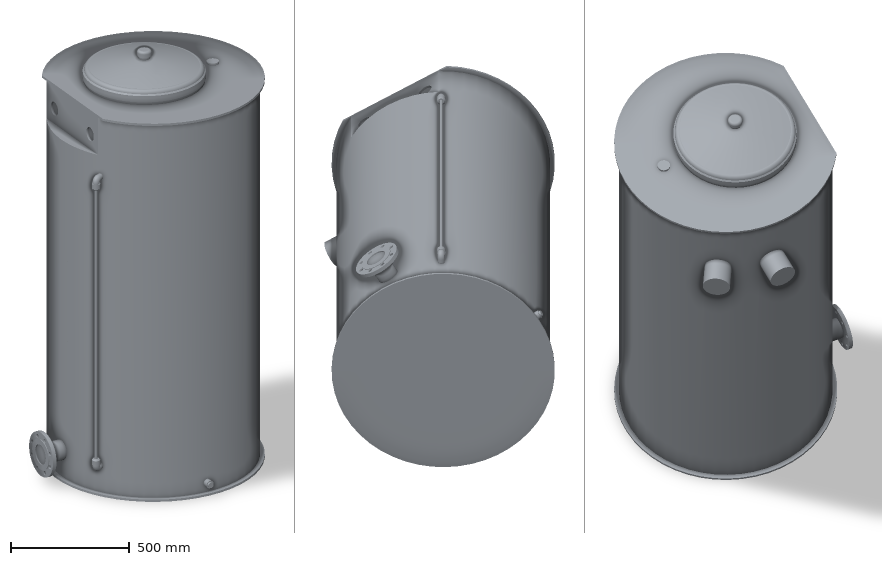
import cadquery as cq
import math

shell_radius = 450
plate_radius = 470
plate_thickness = 10
tank_height = 1750

panel_y = -395
ledge_z = 1567
port_diameter = 61
port_depth = 10
port_spacing = 298
port_z = 1637

inlet_diameter = 114.3
inlet_reach = 550
inlet_z = 1470
inlet_angles = (180, 150)

outlet_z = 131
outlet_reach = 550
outlet_diameter = 88.9
outlet_recess = 6
flange_diameter = 200
flange_thickness = 20
raised_face_diameter = 138
raised_face_height = 3
bolt_circle_diameter = 160
bolt_count = 8
bolt_hole_diameter = 18

lid_y = -44
lid_radius = 260
neck_radius = 257
neck_height = 13
lid_step_z = 1792
lid_step = 6
shoulder_inner_radius = 235
shoulder_top_z = 1814
dome_top_z = 1850
dome_flat_radius = 39

knob_top_z = 1890
knob_round = 11
knob_crown_radius = 30.5
knob_crown_band = 7
knob_grip_radius = 30
knob_grip_height = 7
knob_collar_radius = 26.5
knob_collar_height = 5
knob_neck_radius = 24

cap_diameter = 53
cap_height = 10
cap_y = 290

gauge_axis_radius = 486
gauge_angle = -60
lower_gauge_z = 133
upper_gauge_z = 1471
tube_diameter = 12
stub_diameter = 28
elbow_diameter = 30
bend_radius = 16
elbow_straight = 3
nut_diameter = 36
nut_height = 22
nut_tip_diameter = 25
nut_taper_height = 5

drain_z = 53
drain_collar_diameter = 34
drain_collar_reach = 475
drain_tip_diameter = 25
drain_tip_reach = 483.3


def cylinder_along(direction, diameter, start, length):
    """Cylinder that begins at the point `start` and runs along `direction`."""
    axis = cq.Vector(*direction)
    return cq.Workplane(cq.Solid.makeCylinder(diameter / 2, length, cq.Vector(*start), axis))


def shell_cylinder():
    return cq.Workplane("XY").circle(shell_radius).extrude(tank_height)


def make_tank():
    top_plate_z = tank_height - plate_thickness
    body = shell_cylinder()
    for plate_z in (0, top_plate_z):
        body = body.union(
            cq.Workplane("XY").workplane(offset=plate_z).circle(plate_radius).extrude(plate_thickness)
        )

    recess_depth = plate_radius + panel_y
    recess = cq.Workplane("XY").box(
        2 * plate_radius, recess_depth, tank_height - ledge_z, centered=(True, False, False)
    )
    body = body.cut(recess.translate((0, -plate_radius, ledge_z)))
    for port_x in (-port_spacing / 2, port_spacing / 2):
        body = body.cut(cylinder_along((0, 1, 0), port_diameter, (port_x, panel_y, port_z), port_depth))

    for angle in inlet_angles:
        direction = (math.cos(math.radians(angle)), math.sin(math.radians(angle)), 0)
        body = body.union(cylinder_along(direction, inlet_diameter, (0, 0, inlet_z), inlet_reach))
    outlet_length = outlet_reach - outlet_recess
    body = body.union(cylinder_along((0, -1, 0), outlet_diameter, (0, 0, outlet_z), outlet_length))

    lid_neck = cq.Workplane("XY").center(0, lid_y).circle(neck_radius).extrude(tank_height + neck_height)
    return body.union(lid_neck)


def make_flange():
    back_thickness = flange_thickness - raised_face_height
    plate = cq.Workplane("XY").circle(flange_diameter / 2).extrude(back_thickness)
    plate = plate.faces(">Z").workplane().circle(raised_face_diameter / 2).extrude(raised_face_height)
    plate = plate.cut(cq.Workplane("XY").circle(outlet_diameter / 2).extrude(flange_thickness))
    bolt_holes = (
        cq.Workplane("XY")
        .polarArray(bolt_circle_diameter / 2, 180 / bolt_count, 360, bolt_count)
        .circle(bolt_hole_diameter / 2)
        .extrude(flange_thickness)
    )
    plate = plate.cut(bolt_holes)
    back_y = -(outlet_reach - flange_thickness)
    return plate.rotate((0, 0, 0), (1, 0, 0), 90).translate((0, back_y, outlet_z))


def make_lid():
    skirt_z = tank_height + neck_height
    shoulder_radius = lid_radius - lid_step
    shoulder_z = lid_step_z + lid_step
    bulge = (
        shoulder_inner_radius + (shoulder_radius - shoulder_inner_radius) * math.cos(math.pi / 4),
        shoulder_z + (shoulder_top_z - shoulder_z) * math.sin(math.pi / 4),
    )
    dome_rise = dome_top_z - shoulder_top_z
    flat_offset = (shoulder_inner_radius**2 - dome_flat_radius**2 + dome_rise**2) / (2 * dome_rise)
    dome_radius = math.hypot(flat_offset, dome_flat_radius)
    centre_z = dome_top_z - flat_offset
    middle_radius = (shoulder_inner_radius + dome_flat_radius) / 2
    dome_middle = (middle_radius, centre_z + math.sqrt(dome_radius**2 - middle_radius**2))
    profile = (
        cq.Workplane("XZ")
        .moveTo(0, skirt_z)
        .lineTo(lid_radius, skirt_z)
        .lineTo(lid_radius, lid_step_z)
        .lineTo(shoulder_radius, shoulder_z)
        .threePointArc(bulge, (shoulder_inner_radius, shoulder_top_z))
        .threePointArc(dome_middle, (dome_flat_radius, dome_top_z))
        .lineTo(0, dome_top_z)
        .close()
    )
    return profile.revolve(360, (0, 0), (0, 1)).translate((0, lid_y, 0))


def make_knob():
    crown_z = knob_top_z - knob_round
    grip_z = crown_z - knob_crown_band
    collar_z = grip_z - knob_grip_height
    neck_z = collar_z - knob_collar_height
    top_radius = knob_crown_radius - knob_round
    crown_middle = (
        top_radius + knob_round * math.cos(math.pi / 4),
        crown_z + knob_round * math.sin(math.pi / 4),
    )
    profile = (
        cq.Workplane("XZ")
        .moveTo(0, dome_top_z)
        .lineTo(knob_neck_radius, dome_top_z)
        .lineTo(knob_neck_radius, neck_z)
        .lineTo(knob_collar_radius, neck_z)
        .lineTo(knob_collar_radius, collar_z)
        .lineTo(knob_grip_radius, collar_z)
        .lineTo(knob_grip_radius, grip_z)
        .lineTo(knob_crown_radius, grip_z)
        .lineTo(knob_crown_radius, crown_z)
        .threePointArc(crown_middle, (top_radius, knob_top_z))
        .lineTo(0, knob_top_z)
        .close()
    )
    return profile.revolve(360, (0, 0), (0, 1)).translate((0, lid_y, 0))


def make_cap():
    return cylinder_along((0, 0, 1), cap_diameter, (0, cap_y, tank_height), cap_height)


nut_start = bend_radius + elbow_straight
nut_end = nut_start + nut_height
fitting_length = nut_end + nut_taper_height


def make_fitting(stub_z, upwards):
    """Elbow fitting whose stub leaves the shell at `stub_z` and whose nut points up or down."""
    bend_start = gauge_axis_radius - bend_radius
    stub = cylinder_along((1, 0, 0), stub_diameter, (0, 0, 0), bend_start)
    bend = (
        cq.Workplane("YZ", origin=(bend_start, 0, 0))
        .circle(elbow_diameter / 2)
        .revolve(90, (1, bend_radius, 0), (-1, bend_radius, 0))
    )
    nut = (
        cq.Workplane("XZ")
        .moveTo(0, bend_radius)
        .lineTo(elbow_diameter / 2, bend_radius)
        .lineTo(elbow_diameter / 2, nut_start)
        .lineTo(nut_diameter / 2, nut_start)
        .lineTo(nut_diameter / 2, nut_end)
        .lineTo(nut_tip_diameter / 2, fitting_length)
        .lineTo(0, fitting_length)
        .close()
        .revolve(360, (0, 0), (0, 1))
        .translate((gauge_axis_radius, 0, 0))
    )
    fitting = stub.union(bend).union(nut)
    if not upwards:
        fitting = fitting.mirror("XY")
    fitting = fitting.rotate((0, 0, 0), (0, 0, 1), gauge_angle).translate((0, 0, stub_z))
    return fitting.cut(shell_cylinder())


def make_tube():
    angle = math.radians(gauge_angle)
    bottom_z = lower_gauge_z + fitting_length
    top_z = upper_gauge_z - fitting_length
    start = (gauge_axis_radius * math.cos(angle), gauge_axis_radius * math.sin(angle), bottom_z)
    return cylinder_along((0, 0, 1), tube_diameter, start, top_z - bottom_z)


def make_drain_plug():
    start = (0, 0, drain_z)
    collar = cylinder_along((1, 0, 0), drain_collar_diameter, start, drain_collar_reach)
    tip = cylinder_along((1, 0, 0), drain_tip_diameter, start, drain_tip_reach)
    return collar.union(tip).cut(shell_cylinder())


tank = make_tank()
flange = make_flange()
lid = make_lid()
knob = make_knob()
cap = make_cap()
fittings = [make_fitting(lower_gauge_z, True), make_fitting(upper_gauge_z, False)]
tube = make_tube()
drain_plug = make_drain_plug()

result = cq.Compound.makeCompound(
    [
        tank.val(),
        flange.val(),
        lid.val(),
        knob.val(),
        cap.val(),
        *[fitting.val() for fitting in fittings],
        tube.val(),
        drain_plug.val(),
    ]
)